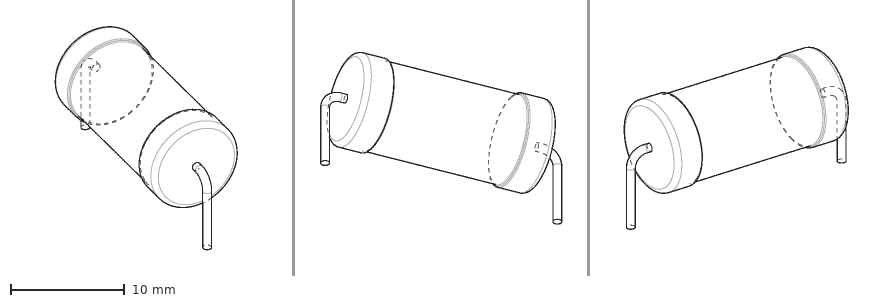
import cadquery as cq

OVERALL_LENGTH = 23.3
OVERALL_HEIGHT = 11.6
BODY_LENGTH = 18.5
END_DIAMETER = 8.6
END_LENGTH = 2.73
RIM_FILLET = 0.5
STEP_FILLET = 0.098
MIDDLE_DIAMETER = 8.2
LEAD_DIAMETER = 0.8
LEAD_BEND_RADIUS = 1.47

MIDDLE_LENGTH = BODY_LENGTH - 2 * END_LENGTH
END_FACE_X = BODY_LENGTH / 2
LEAD_X = OVERALL_LENGTH / 2 - LEAD_DIAMETER / 2
LEAD_BEND_START_X = LEAD_X - LEAD_BEND_RADIUS
LEAD_TIP_Z = END_DIAMETER / 2 - OVERALL_HEIGHT


def make_body():
    """Stepped round body: each step is rounded at its crest and filleted at its root."""
    half_middle = MIDDLE_LENGTH / 2
    end_radius = END_DIAMETER / 2
    middle_radius = MIDDLE_DIAMETER / 2
    profile = (
        cq.Workplane("XZ")
        .moveTo(-END_FACE_X, 0)
        .lineTo(-END_FACE_X, end_radius)
        .lineTo(-half_middle, end_radius)
        .lineTo(-half_middle, middle_radius)
        .lineTo(half_middle, middle_radius)
        .lineTo(half_middle, end_radius)
        .lineTo(END_FACE_X, end_radius)
        .lineTo(END_FACE_X, 0)
        .close()
    )
    body = profile.revolve(360, (0, 0, 0), (1, 0, 0))
    body = body.faces("<X or >X").edges("%CIRCLE").fillet(RIM_FILLET)
    step_min = (-half_middle - STEP_FILLET, -END_DIAMETER, -END_DIAMETER)
    step_max = (half_middle + STEP_FILLET, END_DIAMETER, END_DIAMETER)
    step_edges = cq.selectors.BoxSelector(step_min, step_max)
    return body.edges("%CIRCLE").edges(step_edges).fillet(STEP_FILLET)


def make_lead():
    """Round wire from the right end face of the body, bent down to its tip."""
    path = (
        cq.Workplane("XZ")
        .moveTo(END_FACE_X, 0)
        .lineTo(LEAD_BEND_START_X, 0)
        .tangentArcPoint((LEAD_X, -LEAD_BEND_RADIUS), relative=False)
        .lineTo(LEAD_X, LEAD_TIP_Z)
    )
    start = cq.Workplane("YZ", origin=(END_FACE_X, 0, 0))
    return start.circle(LEAD_DIAMETER / 2).sweep(path)


body = make_body()

leads = []
for turn in (0, 180):
    leads.append(make_lead().rotate((0, 0, 0), (0, 0, 1), turn).val())

result = cq.Compound.makeCompound([body.val(), *leads])